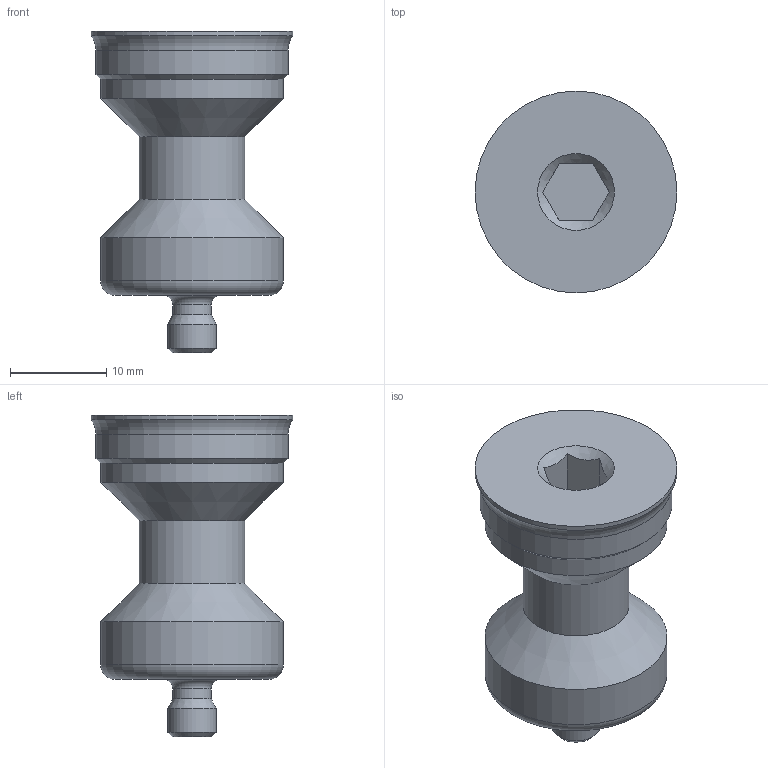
import cadquery as cq
import math

rim_radius = 10.5
collar_radius = 10.0
body_radius = 9.5
waist_radius = 5.5
stud_radius = 2.5
neck_radius = 2.0

total_height = 33.5
rim_thickness = 0.5
flare_height = 1.5
collar_height = 2.5
upper_band_height = 2.0
waist_height = 6.5
lower_band_height = 4.5
base_fillet = 1.5
neck_fillet = 1.0
neck_height = 1.0
stud_shoulder_height = 1.0

collar_chamfer = collar_radius - body_radius
cone_height = body_radius - waist_radius
stud_chamfer = 0.5

hex_sides = 6
hex_across_flats = 6.0
socket_mouth_radius = 4.0
socket_depth = 6.0

rim_bottom = total_height - rim_thickness
collar_top = rim_bottom - flare_height
collar_bottom = collar_top - collar_height
upper_band_top = collar_bottom - collar_chamfer
upper_band_bottom = upper_band_top - upper_band_height
waist_top = upper_band_bottom - cone_height
waist_bottom = waist_top - waist_height
lower_band_top = waist_bottom - cone_height
lower_band_bottom = lower_band_top - lower_band_height
base_bottom = lower_band_bottom - base_fillet
neck_top = base_bottom - neck_fillet
neck_bottom = neck_top - neck_height
stud_top = neck_bottom - stud_shoulder_height


def rim_flare_middle():
    """Middle of the arc that leaves the collar tangentially and flares out to the rim."""
    width = rim_radius - collar_radius
    arc_radius = (width**2 + flare_height**2) / (2 * width)
    half_angle = math.asin(flare_height / arc_radius) / 2
    radius = collar_radius + arc_radius * (1 - math.cos(half_angle))
    height = collar_top + arc_radius * math.sin(half_angle)
    return radius, height


def make_body():
    """Revolve the half profile, drawn from the tip of the stud up to the rim."""
    diagonal = math.sin(math.radians(45))
    fillet_reach = base_fillet * diagonal
    base_center_radius = body_radius - base_fillet
    base_fillet_middle = (base_center_radius + fillet_reach, lower_band_bottom - fillet_reach)
    neck_fillet_end = neck_radius + neck_fillet
    neck_fillet_reach = neck_fillet * diagonal
    neck_fillet_middle = (neck_fillet_end - neck_fillet_reach, neck_top + neck_fillet_reach)
    profile = (
        cq.Workplane("XZ")
        .lineTo(stud_radius - stud_chamfer, 0)
        .lineTo(stud_radius, stud_chamfer)
        .lineTo(stud_radius, stud_top)
        .lineTo(neck_radius, neck_bottom)
        .lineTo(neck_radius, neck_top)
        .threePointArc(neck_fillet_middle, (neck_fillet_end, base_bottom))
        .lineTo(base_center_radius, base_bottom)
        .threePointArc(base_fillet_middle, (body_radius, lower_band_bottom))
        .lineTo(body_radius, lower_band_top)
        .lineTo(waist_radius, waist_bottom)
        .lineTo(waist_radius, waist_top)
        .lineTo(body_radius, upper_band_bottom)
        .lineTo(body_radius, upper_band_top)
        .lineTo(collar_radius, collar_bottom)
        .lineTo(collar_radius, collar_top)
        .threePointArc(rim_flare_middle(), (rim_radius, rim_bottom))
        .lineTo(rim_radius, total_height)
        .lineTo(0, total_height)
        .close()
    )
    return profile.revolve(360, (0, 0, 0), (0, 1, 0))


def make_socket():
    """Hexagon hole with corners along X and a 45 degree conical mouth."""
    hex_across_corners = hex_across_flats / math.cos(math.pi / hex_sides)
    hexagon = (
        cq.Workplane("XY")
        .workplane(offset=total_height - socket_depth)
        .polygon(hex_sides, hex_across_corners)
        .extrude(socket_depth)
    )
    mouth = cq.Workplane("XZ").polyline(
        [
            (0, total_height),
            (socket_mouth_radius, total_height),
            (0, total_height - socket_mouth_radius),
        ]
    )
    mouth = mouth.close().revolve(360, (0, 0, 0), (0, 1, 0))
    return hexagon.union(mouth)


result = make_body().cut(make_socket())